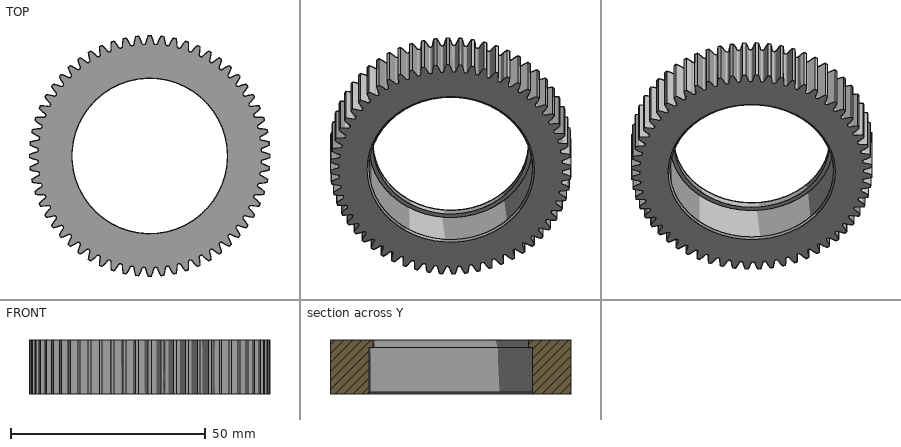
import cadquery as cq
import math

TOOTH_COUNT = 60
MODULE = 1.0
PRESSURE_ANGLE = math.radians(20)
FACE_WIDTH = 14.0
ADDENDUM = MODULE
DEDENDUM = 1.25 * MODULE
ROOT_ROUND_HEIGHT = 0.37 * MODULE

PITCH_RADIUS = MODULE * TOOTH_COUNT / 2
TIP_RADIUS = PITCH_RADIUS + ADDENDUM
ROOT_RADIUS = PITCH_RADIUS - DEDENDUM
BASE_RADIUS = PITCH_RADIUS * math.cos(PRESSURE_ANGLE)
FLANK_START_RADIUS = ROOT_RADIUS + ROOT_ROUND_HEIGHT
FLANK_POINT_COUNT = 5
TOOTH_PITCH_ANGLE = 2 * math.pi / TOOTH_COUNT

LIP_DIAMETER = 40.0
LIP_HEIGHT = 2.0
SEAT_DIAMETER = 42.1
SEAT_CHAMFER = 0.5


def polar_point(radius, angle):
    """Cartesian point at a radius and an angle in radians."""
    return (radius * math.cos(angle), radius * math.sin(angle))


def involute(angle):
    """Polar angle swept by an involute at a pressure angle."""
    return math.tan(angle) - angle


def half_tooth_angle(radius):
    """Angle from the tooth centreline to its involute flank at a radius."""
    local_pressure_angle = math.acos(BASE_RADIUS / radius)
    return TOOTH_PITCH_ANGLE / 4 + involute(PRESSURE_ANGLE) - involute(local_pressure_angle)


def gear_outline():
    """Closed outline of the gear, with a tooth centred on the X axis."""
    flank_step = (TIP_RADIUS - FLANK_START_RADIUS) / (FLANK_POINT_COUNT - 1)
    flank_radii = [FLANK_START_RADIUS + i * flank_step for i in range(FLANK_POINT_COUNT)]
    start_half_angle = half_tooth_angle(FLANK_START_RADIUS)

    outline = cq.Workplane("XY").moveTo(*polar_point(FLANK_START_RADIUS, -start_half_angle))
    for tooth in range(TOOTH_COUNT):
        centre = tooth * TOOTH_PITCH_ANGLE
        rising_flank = [polar_point(r, centre - half_tooth_angle(r)) for r in flank_radii]
        falling_flank = [polar_point(r, centre + half_tooth_angle(r)) for r in reversed(flank_radii)]
        gap_bottom = polar_point(ROOT_RADIUS, centre + TOOTH_PITCH_ANGLE / 2)
        next_tooth = polar_point(FLANK_START_RADIUS, centre + TOOTH_PITCH_ANGLE - start_half_angle)

        outline = outline.spline(rising_flank[1:], includeCurrent=True)
        outline = outline.threePointArc(polar_point(TIP_RADIUS, centre), falling_flank[0])
        outline = outline.spline(falling_flank[1:], includeCurrent=True)
        outline = outline.tangentArcPoint(gap_bottom, relative=False)
        outline = outline.tangentArcPoint(next_tooth, relative=False)
    return outline.close()


def stepped_bore():
    """Solid to cut away: chamfered seat from the bottom and a narrower opening through the lip."""
    seat = cq.Workplane("XY").circle(SEAT_DIAMETER / 2).extrude(FACE_WIDTH - LIP_HEIGHT)
    lead_in = cq.Workplane("XY").add(
        cq.Solid.makeCone(SEAT_DIAMETER / 2 + SEAT_CHAMFER, SEAT_DIAMETER / 2, SEAT_CHAMFER)
    )
    lip_opening = cq.Workplane("XY").circle(LIP_DIAMETER / 2).extrude(FACE_WIDTH)
    return seat.union(lead_in).union(lip_opening)


result = gear_outline().extrude(FACE_WIDTH).cut(stepped_bore())